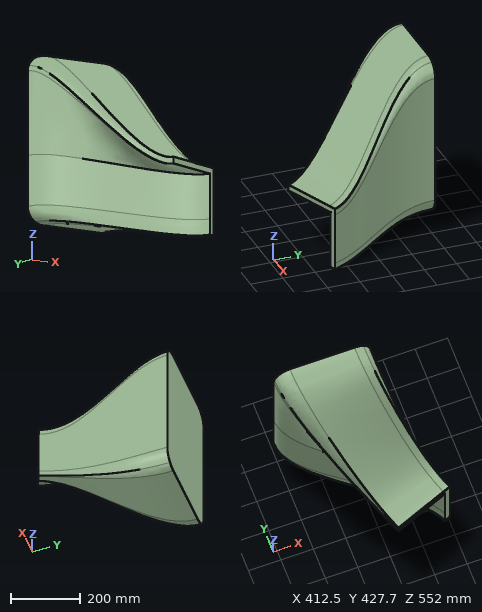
import cadquery as cq
import math

BACK_WIDTH = 300.0
BACK_HEIGHT = 500.5
BACK_RADIUS = 50.0
TOP_Z = 552.0
BACK_BOTTOM_Z = TOP_Z - BACK_HEIGHT

LEG = 200.0
THICKNESS = 20.0
TURN = math.radians(21.3)
CORNER_X = 412.5
CORNER_Y = -355.0

OUTER_CORNER_ANGLE = 57.0
TIP_TOP_ANGLE = 90.0
TIP_UNDER_ANGLE = 162.5
FOOT_INNER_ANGLE = 240.0
FOOT_OUTER_ANGLE = 303.0
INNER_CORNER_Z = 252.5

SWEEP_PULL = 425.0
SECTION_COUNT = 13
STRAIGHT_SAMPLES = 5
ARC_SAMPLES = 9


def arc(center, start, end):
    """Sampled arc (x, z) of a back corner between two angles in degrees."""
    points = []
    for i in range(ARC_SAMPLES):
        angle = math.radians(start + (end - start) * i / (ARC_SAMPLES - 1))
        x = center[0] + BACK_RADIUS * math.cos(angle)
        z = center[1] + BACK_RADIUS * math.sin(angle)
        points.append((x, z))
    return points


def line(start, end):
    """Evenly spaced points along a straight stretch, ends included."""
    steps = STRAIGHT_SAMPLES - 1
    return [
        (start[0] + (end[0] - start[0]) * i / steps, start[1] + (end[1] - start[1]) * i / steps)
        for i in range(STRAIGHT_SAMPLES)
    ]


def path_length(points):
    """Length of the chain of points."""
    return sum(math.dist(a, b) for a, b in zip(points, points[1:]))


def front_point(along, height):
    """Point of the front plane, measured from the outer corner toward the tip."""
    return cq.Vector(CORNER_X - along * math.cos(TURN), CORNER_Y - along * math.sin(TURN), height)


def paired_strips(back_pieces, front_start, front_end):
    """Match back pieces to one straight front edge in proportion to length."""
    total = sum(path_length(piece) for piece in back_pieces)
    travelled = 0.0
    strips = []
    for piece in back_pieces:
        strip = []
        for i, (x, z) in enumerate(piece):
            share = (travelled + path_length(piece[: i + 1])) / total
            along = front_start[0] + (front_end[0] - front_start[0]) * share
            height = front_start[1] + (front_end[1] - front_start[1]) * share
            strip.append((cq.Vector(x, 0, z), front_point(along, height)))
        travelled += path_length(piece)
        strips.append(strip)
    return strips


def flow(back, front, t):
    """Cubic Hermite path leaving and arriving square to the end sections."""
    leave = cq.Vector(0, -SWEEP_PULL, 0)
    arrive = cq.Vector(math.sin(TURN), -math.cos(TURN), 0) * SWEEP_PULL
    blend = t * t * (3 - 2 * t)
    return (
        back * (1 - blend)
        + front * blend
        + leave * (t * (1 - t) ** 2)
        - arrive * (t * t * (1 - t))
    )


def section(strips, t):
    """Closed wire at fraction t of the way from the back to the front."""
    edges = []
    for strip in strips:
        edges.append(cq.Edge.makeSpline([flow(back, front, t) for back, front in strip]))
    return cq.Wire.assembleEdges(edges)


left_x = BACK_RADIUS
right_x = BACK_WIDTH - BACK_RADIUS
upper_z = TOP_Z - BACK_RADIUS
lower_z = BACK_BOTTOM_Z + BACK_RADIUS

tip_arc = arc((left_x, upper_z), TIP_TOP_ANGLE, TIP_UNDER_ANGLE)
under_arc = arc((left_x, upper_z), TIP_UNDER_ANGLE, 180)
foot_arc = arc((left_x, lower_z), 180, FOOT_INNER_ANGLE)
bottom_left_arc = arc((left_x, lower_z), FOOT_INNER_ANGLE, 270)
bottom_right_arc = arc((right_x, lower_z), 270, FOOT_OUTER_ANGLE)
outer_lower_arc = arc((right_x, lower_z), FOOT_OUTER_ANGLE, 360)
outer_upper_arc = arc((right_x, upper_z), 0, OUTER_CORNER_ANGLE)
top_arc = arc((right_x, upper_z), OUTER_CORNER_ANGLE, 90)
inner_corner = (0, INNER_CORNER_Z)

left_upper_side = line(under_arc[-1], inner_corner)
left_lower_side = line(inner_corner, foot_arc[0])
bottom_side = line(bottom_left_arc[-1], bottom_right_arc[0])
right_side = line(outer_lower_arc[-1], outer_upper_arc[0])
top_side = line(top_arc[-1], tip_arc[0])

inner_leg = LEG - THICKNESS
tip_top = (LEG, LEG)
tip_under = (LEG, inner_leg)
front_inner_corner = (THICKNESS, inner_leg)
foot_inner = (THICKNESS, 0)
foot_outer = (0, 0)
outer_corner = (0, LEG)

pairs = [
    ([tip_arc], tip_top, tip_under),
    ([under_arc, left_upper_side], tip_under, front_inner_corner),
    ([left_lower_side, foot_arc], front_inner_corner, foot_inner),
    ([bottom_left_arc, bottom_side, bottom_right_arc], foot_inner, foot_outer),
    ([outer_lower_arc, right_side, outer_upper_arc], foot_outer, outer_corner),
    ([top_arc, top_side], outer_corner, tip_top),
]
strips = [strip for pair in pairs for strip in paired_strips(*pair)]
wires = [section(strips, i / (SECTION_COUNT - 1)) for i in range(SECTION_COUNT)]
result = cq.Workplane(cq.Solid.makeLoft(wires))